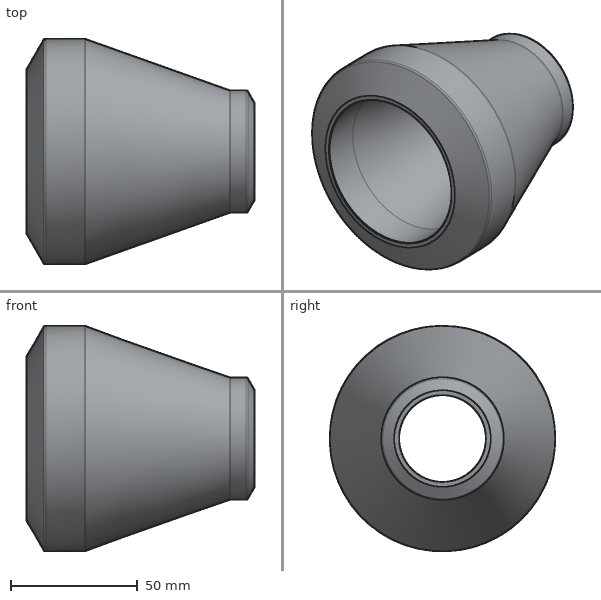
import cadquery as cq
import math

length = 90.0
large_diameter = 88.9
large_bore = 60.5
small_diameter = 48.3
small_bore = 34.1
land_width = 2.0
bevel_angle = 30.0
large_collar_end = 23.0
small_collar_start = 80.1
bore_taper_start = 15.0
edge_radius = 1.0
mouth_chamfer = 0.3

large_radius = large_diameter / 2
small_radius = small_diameter / 2
large_bore_radius = large_bore / 2
small_bore_radius = small_bore / 2
large_face_radius = large_bore_radius + land_width
small_face_radius = small_bore_radius + land_width


def bevel_length(outer_radius, face_radius):
    """Axial length of a weld bevel between two radii."""
    return (outer_radius - face_radius) * math.tan(math.radians(bevel_angle))


large_bevel_end = bevel_length(large_radius, large_face_radius)
small_bevel_start = length - bevel_length(small_radius, small_face_radius)

outer_profile = (
    cq.Workplane("XY")
    .moveTo(0, 0)
    .lineTo(0, large_face_radius)
    .lineTo(large_bevel_end, large_radius)
    .lineTo(large_collar_end, large_radius)
    .lineTo(small_collar_start, small_radius)
    .lineTo(small_bevel_start, small_radius)
    .lineTo(length, small_face_radius)
    .lineTo(length, 0)
    .close()
)
body = outer_profile.revolve(360, (0, 0, 0), (1, 0, 0))


def edge_selector(x, radius):
    """Box selector enclosing only the circular edge at the given X."""
    margin = 0.1
    reach = radius + margin
    return cq.selectors.BoxSelector(
        (x - margin, -reach, -reach), (x + margin, reach, reach)
    )


for corner_x, corner_radius in (
    (large_bevel_end, large_radius),
    (large_collar_end, large_radius),
    (small_collar_start, small_radius),
    (small_bevel_start, small_radius),
):
    body = body.edges(edge_selector(corner_x, corner_radius)).fillet(edge_radius)

bore_profile = (
    cq.Workplane("XY")
    .moveTo(0, 0)
    .lineTo(0, large_bore_radius + mouth_chamfer)
    .lineTo(mouth_chamfer, large_bore_radius)
    .lineTo(bore_taper_start, large_bore_radius)
    .lineTo(small_collar_start, small_bore_radius)
    .lineTo(length, small_bore_radius)
    .lineTo(length, 0)
    .close()
)
bore = bore_profile.revolve(360, (0, 0, 0), (1, 0, 0))

result = body.cut(bore)